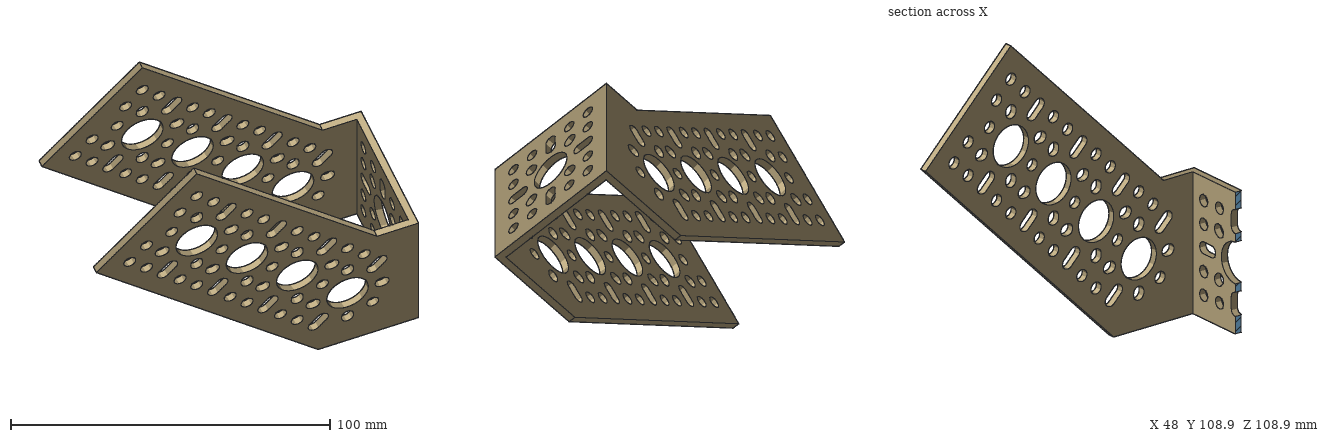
import cadquery as cq
import math

width = 48.0
thickness = 2.5
arm_angle = 45.0
station_count = 4
station_pitch = 24.0

bore_diameter = 14.0
hole_diameter = 4.0
grid = 8.0
ring_radius = 12.0

half = width / 2
slope = math.radians(arm_angle)
arm_reach = (station_count - 1) * station_pitch + half
through = 4 * width

side_plane = cq.Plane(origin=(0, 0, 0), xDir=(0, -1, 0), normal=(-1, 0, 0))
arm_plane = cq.Plane(
    origin=(0, 0, 0), xDir=(0, -math.cos(slope), math.sin(slope)), normal=(-1, 0, 0)
)
back_plane = cq.Plane(origin=(0, half, 0), xDir=(1, 0, 0), normal=(0, -1, 0))


def arm_point(along, across):
    """Side-layout position of a point given along and across the arm."""
    return (
        along * math.cos(slope) - across * math.sin(slope),
        along * math.sin(slope) + across * math.cos(slope),
    )


def make_blank():
    """Solid block with the side outline: square heel running into the sloped arm."""
    lower_corner = half * math.tan(slope / 2)
    outline = [
        (-half, -half),
        (lower_corner, -half),
        arm_point(arm_reach, -half),
        arm_point(arm_reach, half),
        (-lower_corner, half),
        (-half, half),
    ]
    return cq.Workplane(side_plane).polyline(outline).close().extrude(half, both=True)


def make_channel():
    """Remove the space between the arms, leaving them joined by the back plate."""
    inner_width = width - 2 * thickness
    opening = cq.Workplane("XY").box(inner_width, through, through)
    opening = opening.translate((0, half - thickness - through / 2, 0))
    return make_blank().cut(opening)


def round_cutters(plane, points, diameter):
    """Straight round cutters crossing the whole part on both sides of the plane."""
    return cq.Workplane(plane).pushPoints(points).circle(diameter / 2).extrude(through / 2, both=True)


def radial_slot(plane, center, angle, inner_radius, outer_radius):
    """Slot pointing away from a large hole; the radii locate its end-arc centers."""
    direction = math.radians(angle)
    middle = (inner_radius + outer_radius) / 2
    position = (center[0] + middle * math.cos(direction), center[1] + middle * math.sin(direction))
    length = outer_radius - inner_radius + hole_diameter
    sketch = cq.Workplane(plane).pushPoints([position]).slot2D(length, hole_diameter, angle)
    return sketch.extrude(through / 2, both=True)


def station_cutters(plane, center, slot_angles):
    """Large hole, four short diagonal slots and the long slots of one station."""
    cutters = [round_cutters(plane, [center], bore_diameter)]
    for angle in (45, 135, 225, 315):
        cutters.append(radial_slot(plane, center, angle, grid * math.sqrt(2), ring_radius))
    for angle in slot_angles:
        cutters.append(radial_slot(plane, center, angle, ring_radius, 2 * grid))
    return cutters


def arm_cutters():
    """Hole pattern passing through both arms."""
    cutters = []
    points = [(-ring_radius, 0)]
    for index in range(station_count):
        along = index * station_pitch
        cutters += station_cutters(arm_plane, (along, 0), (90, 270))
        points.append((along + ring_radius, 0))
        for side in (-1, 1):
            points.append((along + grid, side * 2 * grid))
            if index > 0:
                points.append((along - grid, side * 2 * grid))
    last_row = (station_count - 1) * station_pitch + 2 * grid
    for side in (-1, 1):
        points.append((last_row, side * grid))
        points.append((last_row, side * 2 * grid))
    cutters.append(round_cutters(arm_plane, points, hole_diameter))
    return cutters


def back_cutters():
    """Hole pattern of the back plate."""
    points = []
    for x_side in (-1, 1):
        for z_side in (-1, 1):
            points.append((x_side * 2 * grid, z_side * grid))
            points.append((x_side * grid, z_side * 2 * grid))
            points.append((x_side * 2 * grid, z_side * 2 * grid))
    cutters = station_cutters(back_plane, (0, 0), (0, 90, 180, 270))
    cutters.append(round_cutters(back_plane, points, hole_diameter))
    return cutters


result = make_channel()
for cutter in arm_cutters() + back_cutters():
    result = result.cut(cutter)